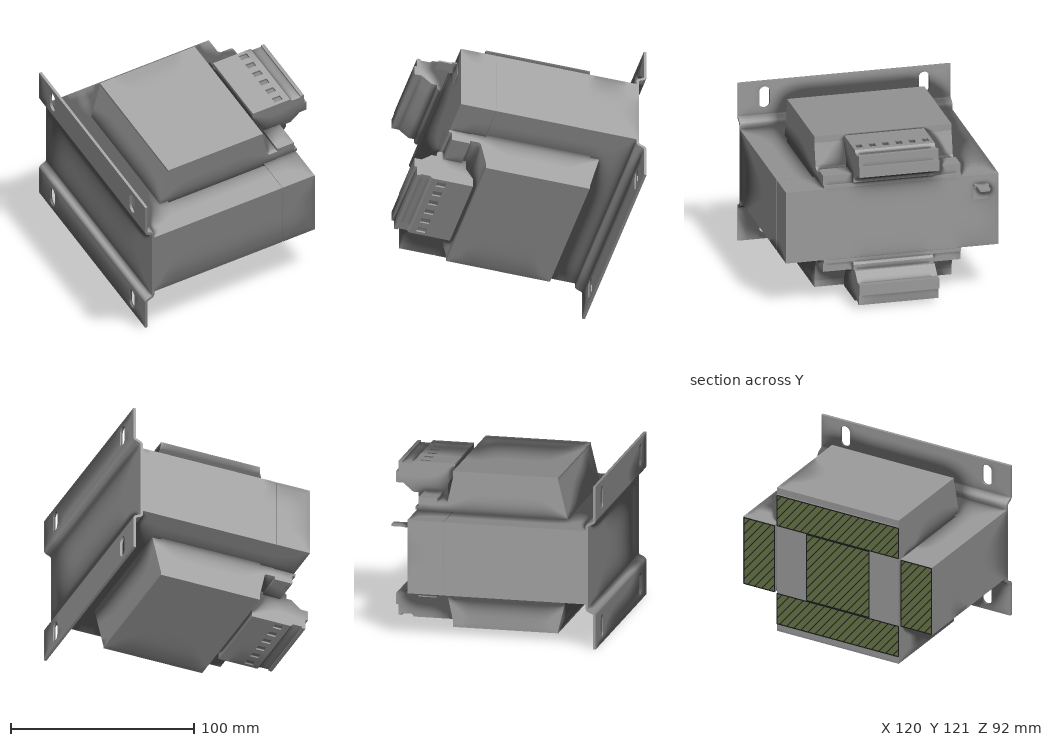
import cadquery as cq
import math


CORE_WIDTH = 120.0
CORE_HEIGHT = 41.4
LIMB = CORE_WIDTH / 6
WINDOW_WIDTH = LIMB
WINDOW_LENGTH = 3 * LIMB
JOINT_WIDTH = 0.4
JOINT_DEPTH = 0.3

SHEET = 1.5
BRACKET_HEIGHT = 92.0
JOGGLE_OFFSET = 4.2
JOGGLE_END_Z = 22.8
BEND_INNER = 1.0
BEND_ANGLE = 65.0
MOUNT_SLOT_PITCH_X = 90.0
MOUNT_SLOT_PITCH_Z = 73.0
MOUNT_SLOT_LENGTH = 12.5
MOUNT_SLOT_WIDTH = 6.0

CORE_FRONT = JOGGLE_OFFSET + SHEET
WINDOW_FRONT = CORE_FRONT + LIMB
WINDOW_BACK = WINDOW_FRONT + WINDOW_LENGTH
CORE_BACK = WINDOW_BACK + LIMB
CORE_TOP = CORE_HEIGHT / 2

BOBBIN_WIDTH = 77.4
COVER_TOP = 44.0
COVER_FRONT = 26.1
COVER_FOOT_FRONT = 20.8
COVER_FRONT_EDGE_Z = 42.6
COVER_BACK = 85.2
COVER_BACK_EDGE_Z = 40.3
CHANNEL_FLOOR_Z = 26.1
CHANNEL_FRONT = 87.9
CHANNEL_ROUND = 1.6
RAIL_FRONT = 94.2
RAIL_BACK = 104.5
RAIL_TOP = 28.0
LEDGE_TOP = 22.7
LEDGE_BACK = 106.3
LEDGE_CLEARANCE = 0.35
LEDGE_CLEARANCE_FRONT = 93.6

TERMINAL_PITCH = 7.5
TERMINAL_COUNT = 6
TERMINAL_WIDTH = TERMINAL_COUNT * TERMINAL_PITCH
TERMINAL_BACK = 121.05
TERMINAL_FRONT = 87.8
TERMINAL_TOP = COVER_TOP
FRONT_FACE_BOTTOM = 38.2
FOOT_FRONT = 91.8
FOOT_TOP = 32.0
MARKER_SLOPE_TOP = 110.9
MARKER_SLOPE_FOOT = 112.3
MARKER_SEAT_Z = 42.5
MARKER_LIP_FRONT = 117.6
MARKER_LIP_BACK = 119.6
MARKER_LIP_Z = 43.5
NOSE_TOP = 37.6
NOSE_BOTTOM = 31.4
NOSE_FRONT = 117.0
HOOK_SHOULDER = 111.3
HOOK_TOP = 26.6
HOOK_BACK = 108.3
HOOK_BOTTOM = 23.0
HOOK_CHAMFER = 1.1
WIRE_WINDOW_WIDTH = 3.5
WIRE_WINDOW_LENGTH = 5.0
WIRE_WINDOW_Y = 105.0
WIRE_WINDOW_DEPTH = 1.0

TAB_X = -49.8
TAB_THICKNESS = 1.0
TAB_TOP = 15.8
TAB_WIDTH = 6.3
TAB_TIP = 116.6
TAB_TIP_RADIUS = 1.5
TAB_BASE_WIDTH = 8.0
TAB_BASE_BACK = 108.8
TAB_FOOT_BOTTOM = 6.6
TAB_FOOT_THICKNESS = 0.5


def box(x_range, y_range, z_range):
    """Block spanning the given (low, high) ranges."""
    sizes = [high - low for low, high in (x_range, y_range, z_range)]
    corner = (x_range[0], y_range[0], z_range[0])
    return cq.Workplane("XY").box(*sizes, centered=False).translate(corner)


def centred(width):
    return (-width / 2, width / 2)


def extrude_along_x(profile, width):
    """Extrude a closed YZ profile symmetrically about X = 0."""
    return profile.extrude(width / 2, both=True)


def with_mirror(upper):
    """Add the mirror image of an upper feature below Z = 0."""
    return upper.union(upper.mirror("XY"))


def make_core():
    core = box(centred(CORE_WIDTH), (CORE_FRONT, CORE_BACK), centred(CORE_HEIGHT))
    for side in (-1, 1):
        window_x = side * (LIMB + WINDOW_WIDTH / 2)
        x_range = (window_x - WINDOW_WIDTH / 2, window_x + WINDOW_WIDTH / 2)
        core = core.cut(box(x_range, (WINDOW_FRONT, WINDOW_BACK), centred(CORE_HEIGHT)))
    joint = (WINDOW_BACK - JOINT_WIDTH, WINDOW_BACK)
    around = box(centred(CORE_WIDTH), joint, centred(CORE_HEIGHT))
    kept = box(centred(CORE_WIDTH - 2 * JOINT_DEPTH), joint, centred(CORE_HEIGHT - 2 * JOINT_DEPTH))
    return core.cut(around.cut(kept))


def bend_point(centre, radius, angle):
    """Point on a bend, with the angle in degrees measured from +Y towards +Z."""
    turn = math.radians(angle)
    return (centre[0] + radius * math.cos(turn), centre[1] + radius * math.sin(turn))


def make_flange():
    """Upper flange with the joggle (two equal, opposite bends) down to the web."""
    bend_outer = BEND_INNER + SHEET
    bend_middle = (BEND_INNER + bend_outer) / 2
    turn = math.radians(BEND_ANGLE)
    slope_length = (JOGGLE_OFFSET - 2 * bend_middle * (1 - math.cos(turn))) / math.sin(turn)
    joggle_height = 2 * bend_middle * math.sin(turn) + slope_length * math.cos(turn)
    joggle_start_z = JOGGLE_END_Z + joggle_height
    flange_bend = (bend_outer, joggle_start_z)
    web_bend = (CORE_FRONT - bend_outer, JOGGLE_END_Z)
    profile = (
        cq.Workplane("YZ")
        .moveTo(0, BRACKET_HEIGHT / 2)
        .lineTo(0, joggle_start_z)
        .threePointArc(
            bend_point(flange_bend, bend_outer, 180 + BEND_ANGLE / 2),
            bend_point(flange_bend, bend_outer, 180 + BEND_ANGLE),
        )
        .lineTo(*bend_point(web_bend, BEND_INNER, BEND_ANGLE))
        .threePointArc(
            bend_point(web_bend, BEND_INNER, BEND_ANGLE / 2),
            (JOGGLE_OFFSET, JOGGLE_END_Z),
        )
        .lineTo(CORE_FRONT, JOGGLE_END_Z)
        .threePointArc(
            bend_point(web_bend, bend_outer, BEND_ANGLE / 2),
            bend_point(web_bend, bend_outer, BEND_ANGLE),
        )
        .lineTo(*bend_point(flange_bend, BEND_INNER, 180 + BEND_ANGLE))
        .threePointArc(
            bend_point(flange_bend, BEND_INNER, 180 + BEND_ANGLE / 2),
            (SHEET, joggle_start_z),
        )
        .lineTo(SHEET, BRACKET_HEIGHT / 2)
        .close()
    )
    return extrude_along_x(profile, CORE_WIDTH)


def make_bracket():
    web = box(centred(CORE_WIDTH), (JOGGLE_OFFSET, CORE_FRONT), centred(2 * JOGGLE_END_Z))
    bracket = web.union(with_mirror(make_flange()))
    slots = (
        cq.Workplane("XZ")
        .rarray(MOUNT_SLOT_PITCH_X, MOUNT_SLOT_PITCH_Z, 2, 2)
        .slot2D(MOUNT_SLOT_LENGTH, MOUNT_SLOT_WIDTH, angle=90)
        .extrude(-SHEET)
    )
    return bracket.cut(slots)


def make_bobbin():
    coil = box(centred(BOBBIN_WIDTH), (WINDOW_FRONT, COVER_BACK), centred(CORE_HEIGHT))
    ledge_bottom = CORE_TOP + LEDGE_CLEARANCE
    cover_profile = (
        cq.Workplane("YZ")
        .moveTo(COVER_FOOT_FRONT, CORE_TOP)
        .lineTo(COVER_FRONT, COVER_FRONT_EDGE_Z)
        .lineTo(COVER_FRONT, COVER_TOP)
        .lineTo(COVER_BACK, COVER_TOP)
        .lineTo(COVER_BACK, COVER_BACK_EDGE_Z)
        .lineTo(CHANNEL_FRONT, CHANNEL_FLOOR_Z + CHANNEL_ROUND)
        .radiusArc((CHANNEL_FRONT + CHANNEL_ROUND, CHANNEL_FLOOR_Z), -CHANNEL_ROUND)
        .lineTo(RAIL_FRONT, CHANNEL_FLOOR_Z)
        .lineTo(RAIL_FRONT, RAIL_TOP)
        .lineTo(RAIL_BACK, RAIL_TOP)
        .lineTo(RAIL_BACK, LEDGE_TOP)
        .lineTo(LEDGE_BACK, LEDGE_TOP)
        .lineTo(LEDGE_BACK, ledge_bottom)
        .lineTo(LEDGE_CLEARANCE_FRONT, ledge_bottom)
        .lineTo(LEDGE_CLEARANCE_FRONT, CORE_TOP)
        .close()
    )
    return coil.union(with_mirror(extrude_along_x(cover_profile, BOBBIN_WIDTH)))


def make_terminal_block():
    """Upper terminal block, hooked over the bobbin rail."""
    outline = [
        (TERMINAL_FRONT, TERMINAL_TOP),
        (MARKER_SLOPE_TOP, TERMINAL_TOP),
        (MARKER_SLOPE_FOOT, MARKER_SEAT_Z),
        (MARKER_LIP_FRONT, MARKER_SEAT_Z),
        (MARKER_LIP_FRONT, MARKER_LIP_Z),
        (MARKER_LIP_BACK, MARKER_LIP_Z),
        (MARKER_LIP_BACK, NOSE_TOP),
        (TERMINAL_BACK, NOSE_TOP),
        (TERMINAL_BACK, NOSE_BOTTOM),
        (NOSE_FRONT, NOSE_BOTTOM),
        (HOOK_SHOULDER, HOOK_TOP),
        (HOOK_BACK, HOOK_TOP),
        (HOOK_BACK, HOOK_BOTTOM + HOOK_CHAMFER),
        (HOOK_BACK - HOOK_CHAMFER, HOOK_BOTTOM),
        (RAIL_BACK, HOOK_BOTTOM),
        (RAIL_BACK, RAIL_TOP),
        (RAIL_FRONT, RAIL_TOP),
        (RAIL_FRONT, CHANNEL_FLOOR_Z),
        (FOOT_FRONT, CHANNEL_FLOOR_Z),
        (FOOT_FRONT, FOOT_TOP),
        (TERMINAL_FRONT, FRONT_FACE_BOTTOM),
    ]
    block = extrude_along_x(cq.Workplane("YZ").polyline(outline).close(), TERMINAL_WIDTH)
    wire_windows = (
        cq.Workplane("XY", origin=(0, WIRE_WINDOW_Y, TERMINAL_TOP))
        .rarray(TERMINAL_PITCH, 1, TERMINAL_COUNT, 1)
        .rect(WIRE_WINDOW_WIDTH, WIRE_WINDOW_LENGTH)
        .extrude(-WIRE_WINDOW_DEPTH)
    )
    return block.cut(wire_windows)


def make_earth_tab():
    z_range = (TAB_TOP - TAB_THICKNESS, TAB_TOP)
    base_x = (TAB_X - TAB_BASE_WIDTH / 2, TAB_X + TAB_BASE_WIDTH / 2)
    blade_x = (TAB_X - TAB_WIDTH / 2, TAB_X + TAB_WIDTH / 2)
    blade = box(blade_x, (CORE_BACK, TAB_TIP), z_range)
    blade = blade.edges("|Z and >Y").fillet(TAB_TIP_RADIUS)
    base = box(base_x, (CORE_BACK, TAB_BASE_BACK), z_range)
    foot = box(base_x, (CORE_BACK, CORE_BACK + TAB_FOOT_THICKNESS), (TAB_FOOT_BOTTOM, TAB_TOP))
    return blade.union(base).union(foot)


result = (
    make_core()
    .union(make_bracket())
    .union(make_bobbin())
    .union(with_mirror(make_terminal_block()))
    .union(make_earth_tab())
)